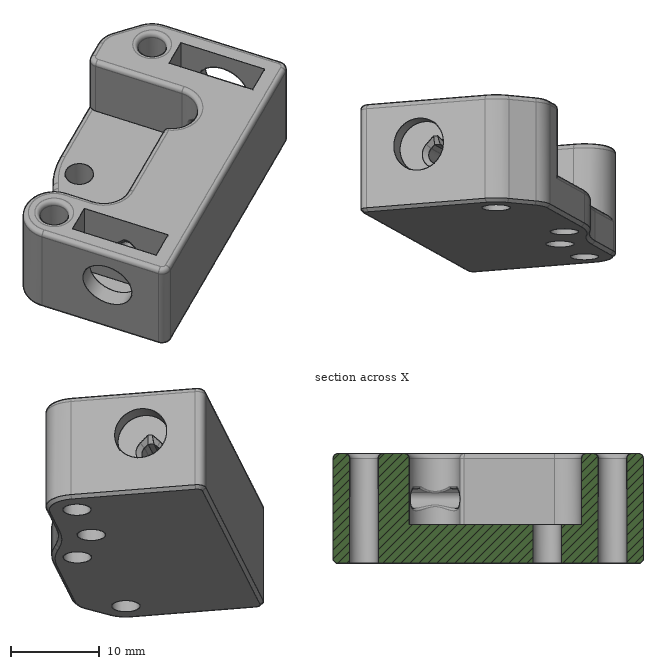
import cadquery as cq
import math

WIDTH = 21.05
LENGTH = 35.0
HEIGHT = 12.4
PLATE_HEIGHT = 4.38
EDGE_FILLET = 0.6
BOTTOM_CHAMFER = 0.4
CORNER_FILLET = 1.0

HOLE_DIAMETER = 3.2
END_RADIUS = 3.5
END_HOLE_X = 5.75
LOW_HOLE_Y = END_RADIUS
HIGH_HOLE_Y = LENGTH - END_RADIUS
END_HOLES = [(END_HOLE_X, LOW_HOLE_Y), (END_HOLE_X, HIGH_HOLE_Y)]
PLATE_HOLES = [(3.1, 16.8), (5.9, 10.85)]

BEVEL_RADIUS = 3.0
BEVEL_DIRECTION = 135
S_START_Y = 18.6
S_RADIUS = 10.0
S_ANGLE = math.radians(25)
LOWER_LEFT_X = END_HOLE_X - END_RADIUS

CORNER_RADIUS = 3.0
LOBE_RADIUS = 2.9
POCKET_TOP_Y = 26.4
POCKET_BOTTOM_Y = LOW_HOLE_Y + END_RADIUS
POCKET_WALL_X = 12.05
LOBE_X = 11.6
LOBE_Y = POCKET_TOP_Y - LOBE_RADIUS
LOBE_EDGE_FILLET = 0.5

SLOT_WIDTH = 10.25
SLOT_LENGTH_Y = 3.4
SLOT_INSET = 2.0
SLOT_FLOOR_Z = 2.17
BORE_X = 13.75
BORE_Z = 7.25
OUTER_BORE_DIAMETER = 6.0
BORE_RADIUS = 1.05
BORE_TIP = 1.15

MOUTH_RADIUS = 1.6
MOUTH_TIP = 2.03
MOUTH_DEPTH = 0.55

BORE_RIM_FILLET = 0.28


def on_circle(center_x, center_y, radius, degrees):
    """Point on a circle at an angle measured from +X."""
    angle = math.radians(degrees)
    return (center_x + radius * math.cos(angle), center_y + radius * math.sin(angle))


def right_and_bevel():
    """Open outline from the lower end around the right side to the left face."""
    bevel_start = on_circle(END_HOLE_X, HIGH_HOLE_Y, END_RADIUS, BEVEL_DIRECTION)
    bevel_drop = (END_HOLE_X - BEVEL_RADIUS) - (END_RADIUS - BEVEL_RADIUS) * math.sqrt(2)
    bevel_y = HIGH_HOLE_Y - bevel_drop
    bevel_end = on_circle(BEVEL_RADIUS, bevel_y, BEVEL_RADIUS, BEVEL_DIRECTION)
    upper_arc_middle = on_circle(END_HOLE_X, HIGH_HOLE_Y, END_RADIUS, (90 + BEVEL_DIRECTION) / 2)
    lower_arc_middle = on_circle(BEVEL_RADIUS, bevel_y, BEVEL_RADIUS, (BEVEL_DIRECTION + 180) / 2)
    return (
        cq.Workplane("XY")
        .moveTo(END_HOLE_X, 0)
        .lineTo(WIDTH, 0)
        .lineTo(WIDTH, LENGTH)
        .lineTo(END_HOLE_X, LENGTH)
        .threePointArc(upper_arc_middle, bevel_start)
        .lineTo(*bevel_end)
        .threePointArc(lower_arc_middle, (0, bevel_y))
    )


def round_right_corners(body):
    return body.edges("|Z and >X").fillet(CORNER_FILLET)


def make_plate():
    """Low plate with the S-curved left side."""
    arc_dx = S_RADIUS * (1 - math.cos(S_ANGLE))
    arc_dy = S_RADIUS * math.sin(S_ANGLE)
    straight_dx = LOWER_LEFT_X - 2 * arc_dx
    straight_dy = straight_dx / math.tan(S_ANGLE)
    s_end_y = S_START_Y - 2 * arc_dy - straight_dy
    half_dx = S_RADIUS * (1 - math.cos(S_ANGLE / 2))
    half_dy = S_RADIUS * math.sin(S_ANGLE / 2)
    plate = (
        right_and_bevel()
        .lineTo(0, S_START_Y)
        .threePointArc((half_dx, S_START_Y - half_dy), (arc_dx, S_START_Y - arc_dy))
        .lineTo(LOWER_LEFT_X - arc_dx, s_end_y + arc_dy)
        .threePointArc((LOWER_LEFT_X - half_dx, s_end_y + half_dy), (LOWER_LEFT_X, s_end_y))
        .lineTo(LOWER_LEFT_X, LOW_HOLE_Y)
        .threePointArc(on_circle(END_HOLE_X, LOW_HOLE_Y, END_RADIUS, 225), (END_HOLE_X, 0))
        .close()
        .extrude(PLATE_HEIGHT)
    )
    return round_right_corners(plate).faces(">Z").edges().fillet(EDGE_FILLET)


def make_block():
    """Full-height C-shaped block around the pocket."""
    lobe_end_y = LOBE_Y - math.sqrt(LOBE_RADIUS**2 - (POCKET_WALL_X - LOBE_X) ** 2)
    corner_x = POCKET_WALL_X - CORNER_RADIUS
    corner_y = POCKET_BOTTOM_Y + CORNER_RADIUS
    block = (
        right_and_bevel()
        .lineTo(0, POCKET_TOP_Y)
        .lineTo(LOBE_X, POCKET_TOP_Y)
        .threePointArc((LOBE_X + LOBE_RADIUS, LOBE_Y), (POCKET_WALL_X, lobe_end_y))
        .lineTo(POCKET_WALL_X, corner_y)
        .threePointArc(
            on_circle(corner_x, corner_y, CORNER_RADIUS, -45), (corner_x, POCKET_BOTTOM_Y)
        )
        .lineTo(END_HOLE_X, POCKET_BOTTOM_Y)
        .threePointArc((LOWER_LEFT_X, LOW_HOLE_Y), (END_HOLE_X, 0))
        .close()
        .extrude(HEIGHT)
    )
    mid_z = HEIGHT / 2
    block = round_right_corners(block)
    block = block.edges(cq.NearestToPointSelector((0, POCKET_TOP_Y, mid_z))).fillet(CORNER_FILLET)
    block = block.edges(cq.NearestToPointSelector((POCKET_WALL_X, lobe_end_y, mid_z)))
    block = block.fillet(LOBE_EDGE_FILLET)
    block = (
        block.faces(">Z")
        .workplane(origin=(0, 0, HEIGHT))
        .pushPoints(END_HOLES)
        .hole(HOLE_DIAMETER)
    )
    return block.faces(">Z").edges().fillet(EDGE_FILLET)


def vertical_holes():
    """All four screw holes through the plate."""
    return (
        cq.Workplane("XY")
        .pushPoints(END_HOLES + PLATE_HOLES)
        .circle(HOLE_DIAMETER / 2)
        .extrude(PLATE_HEIGHT)
    )


def teardrop(workplane, radius, tip_height):
    """Circle with 45 degree flanks above it, cut flat at the tip height."""
    flank = radius / math.sqrt(2)
    tip_half_width = radius * math.sqrt(2) - tip_height
    return (
        workplane.moveTo(flank, flank)
        .threePointArc((0, -radius), (-flank, flank))
        .lineTo(-tip_half_width, tip_height)
        .lineTo(tip_half_width, tip_height)
        .close()
    )


def plane_along_y(y):
    """Plane on the bore axis with X across, Z up and its normal toward -Y."""
    return cq.Workplane("XZ", origin=(BORE_X, y, BORE_Z))


def slot_and_bore_cut():
    """Lower slot, its outer bore, and the flared teardrop bore as far as mid-length."""
    slot_inner_y = SLOT_INSET + SLOT_LENGTH_Y
    slot = cq.Workplane("XY").box(
        SLOT_WIDTH, SLOT_LENGTH_Y, HEIGHT - SLOT_FLOOR_Z, centered=(True, False, False)
    )
    slot = slot.translate((BORE_X, SLOT_INSET, SLOT_FLOOR_Z))
    outer_bore = plane_along_y(SLOT_INSET).circle(OUTER_BORE_DIAMETER / 2).extrude(SLOT_INSET)
    bore = teardrop(plane_along_y(slot_inner_y), BORE_RADIUS, BORE_TIP)
    bore = bore.extrude(slot_inner_y - LENGTH / 2)
    mouth = teardrop(plane_along_y(slot_inner_y), MOUTH_RADIUS, MOUTH_TIP)
    mouth = teardrop(mouth.workplane(offset=-MOUTH_DEPTH), BORE_RADIUS, BORE_TIP).loft(ruled=True)
    return slot.union(outer_bore).union(bore).union(mouth)


def round_bore_rim(body):
    """Round the rim where the bore breaks into the rounded end of the pocket."""
    rim_box = cq.selectors.BoxSelector(
        (POCKET_WALL_X, LOBE_Y - LOBE_RADIUS, BORE_Z - MOUTH_RADIUS),
        (WIDTH, POCKET_TOP_Y, BORE_Z + MOUTH_RADIUS),
        boundingbox=True,
    )
    return body.edges(rim_box).fillet(BORE_RIM_FILLET)


lower_cut = slot_and_bore_cut()
upper_cut = lower_cut.mirror("XZ", (0, LENGTH / 2, 0))

block = round_bore_rim(make_block().cut(lower_cut).cut(upper_cut))
result = block.union(make_plate())
result = result.faces("<Z").edges().chamfer(BOTTOM_CHAMFER)
result = result.cut(vertical_holes()).cut(lower_cut).cut(upper_cut)